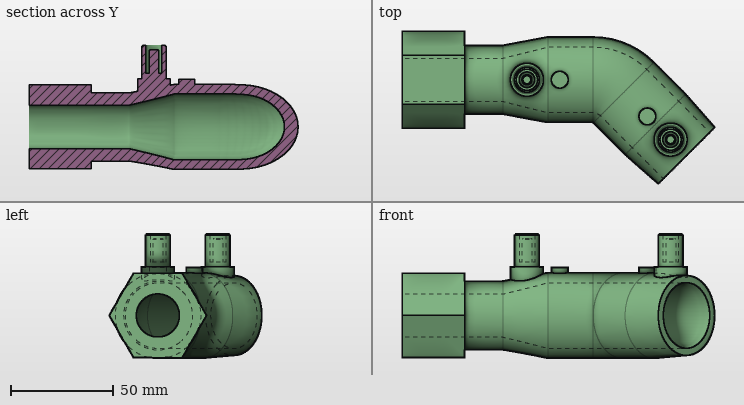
import cadquery as cq
import math

nut_length = 30.5
nut_across_flats = 41.2
inlet_bore_radius = 10.5

neck_radius = 16.8
neck_end = 49.0
body_radius = 21.0
taper_end = 71.0
bend_start = 93.2
body_bore_radius = 16.0

bend_angle = 45.0
bend_radius = body_radius + 0.08

arm_straight_length = 22.0
arm_length = 43.7
outlet_radius = 19.5

terminal_top = 40.0
terminal_radius = 6.1
terminal_chamfer = 0.9
collar_top = 23.7
collar_radius = 8.1
socket_radius = 3.8
socket_depth = 13.7
contact_radius = 2.5
contact_recess = 2.3
contact_chamfer = 0.5
button_radius = 4.1
button_top = 23.5
button_spacing = 16.0
inlet_terminal_x = 61.0
arm_terminal_distance = 32.7

bend_rad = math.radians(bend_angle)
arm_direction = cq.Vector(math.cos(bend_rad), -math.sin(bend_rad), 0)
arm_start = cq.Vector(
    bend_start + bend_radius * math.sin(bend_rad),
    -bend_radius * (1 - math.cos(bend_rad)),
    0,
)


def turned(profile, origin, direction):
    """Revolve (distance, radius) points about an axis in the XY plane."""
    plane = cq.Plane(origin=origin, xDir=direction, normal=(0, 0, 1))
    points = [(profile[0][0], 0)] + profile + [(profile[-1][0], 0)]
    return cq.Workplane(plane).polyline(points).close().revolve(360, (0, 0, 0), (1, 0, 0))


def bend(radius):
    """Solid round elbow that joins the inlet run to the outlet arm."""
    plane = cq.Plane(origin=(bend_start, 0, 0), xDir=(0, 1, 0), normal=(1, 0, 0))
    return (
        cq.Workplane(plane)
        .circle(radius)
        .revolve(bend_angle, (-bend_radius, 1.5, 0), (-bend_radius, 0, 0))
    )


def upright(center, radius, top):
    """Vertical cylinder from the tube axis level up to the given height."""
    return cq.Workplane("XY").center(center.x, center.y).circle(radius).extrude(top)


def terminal(center):
    """Collared post with an open socket around a central contact pin."""
    collar = upright(center, collar_radius, collar_top)
    post = upright(center, terminal_radius, terminal_top).faces(">Z").chamfer(terminal_chamfer)

    socket = upright(center, socket_radius, terminal_top)
    socket = socket.cut(upright(center, socket_radius, terminal_top - socket_depth))
    contact = upright(center, contact_radius, terminal_top - contact_recess)
    contact = contact.faces(">Z").chamfer(contact_chamfer)
    return collar.union(post).cut(socket).union(contact)


nut = (
    cq.Workplane("YZ")
    .polygon(6, nut_across_flats / math.cos(math.pi / 6))
    .extrude(nut_length)
)
inlet_run = turned(
    [(0, neck_radius), (neck_end, neck_radius), (taper_end, body_radius), (bend_start, body_radius)],
    cq.Vector(0, 0, 0),
    cq.Vector(1, 0, 0),
)
arm = turned(
    [(0, body_radius), (arm_straight_length, body_radius), (arm_length, outlet_radius)],
    arm_start,
    arm_direction,
)
body = nut.union(inlet_run).union(bend(body_radius)).union(arm)

inlet_terminal = cq.Vector(inlet_terminal_x, 0, 0)
inlet_button = cq.Vector(inlet_terminal_x + button_spacing, 0, 0)
arm_terminal = arm_start + arm_direction * arm_terminal_distance
arm_button = arm_start + arm_direction * (arm_terminal_distance - button_spacing)
for center in (inlet_terminal, arm_terminal):
    body = body.union(terminal(center))
for center in (inlet_button, arm_button):
    body = body.union(upright(center, button_radius, button_top))

inlet_bore = turned(
    [
        (0, inlet_bore_radius),
        (neck_end, inlet_bore_radius),
        (taper_end, body_bore_radius),
        (bend_start, body_bore_radius),
    ],
    cq.Vector(0, 0, 0),
    cq.Vector(1, 0, 0),
)
arm_bore = turned(
    [(0, body_bore_radius), (arm_length, body_bore_radius)], arm_start, arm_direction
)
result = body.cut(inlet_bore).cut(bend(body_bore_radius)).cut(arm_bore)